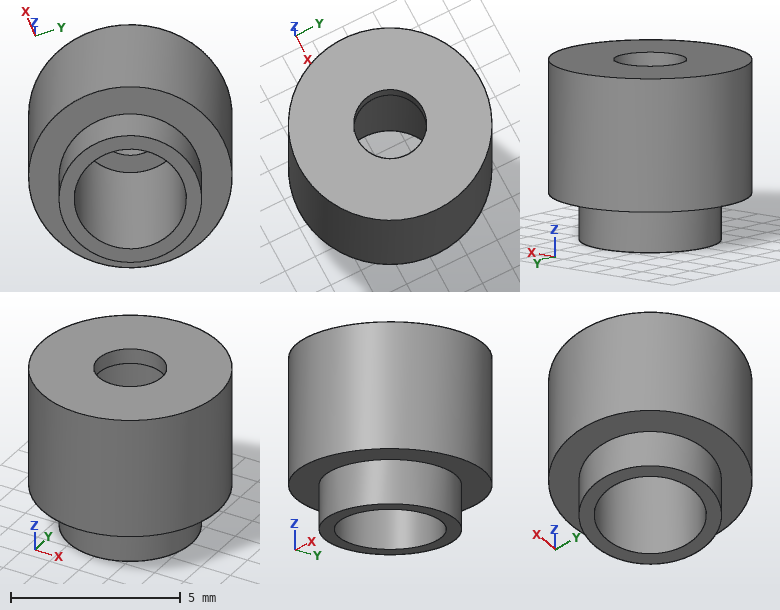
import cadquery as cq

body_diameter = 6.0
spigot_diameter = 4.2
bore_diameter = 3.3
top_hole_diameter = 2.15
total_height = 5.4
spigot_height = 1.4
top_wall = 0.5

body_height = total_height - spigot_height
bore_depth = total_height - top_wall

spigot = cq.Workplane("XY").circle(spigot_diameter / 2).extrude(spigot_height)
body = (
    cq.Workplane("XY")
    .workplane(offset=spigot_height)
    .circle(body_diameter / 2)
    .extrude(body_height)
)

bore = cq.Workplane("XY").circle(bore_diameter / 2).extrude(bore_depth)
top_hole = cq.Workplane("XY").circle(top_hole_diameter / 2).extrude(total_height)

result = spigot.union(body).cut(bore).cut(top_hole)